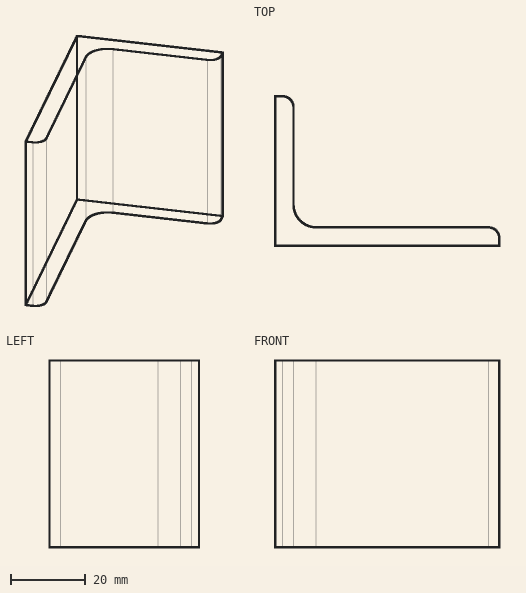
import cadquery as cq

long_leg = 60.0
short_leg = 40.0
height = 50.0
thickness = 5.0
root_radius = 6.0
toe_radius = 3.0

profile = (
    cq.Workplane("XY")
    .moveTo(0, 0)
    .lineTo(long_leg, 0)
    .lineTo(long_leg, thickness)
    .lineTo(thickness, thickness)
    .lineTo(thickness, short_leg)
    .lineTo(0, short_leg)
    .close()
)
angle = profile.extrude(height)


def round_vertical_edge(body, x, y, radius):
    """Fillet the vertical edge that passes through (x, y)."""
    edge = cq.selectors.NearestToPointSelector((x, y, height / 2))
    return body.edges("|Z").edges(edge).fillet(radius)


angle = round_vertical_edge(angle, thickness, thickness, root_radius)
angle = round_vertical_edge(angle, long_leg, thickness, toe_radius)
angle = round_vertical_edge(angle, thickness, short_leg, toe_radius)

result = angle